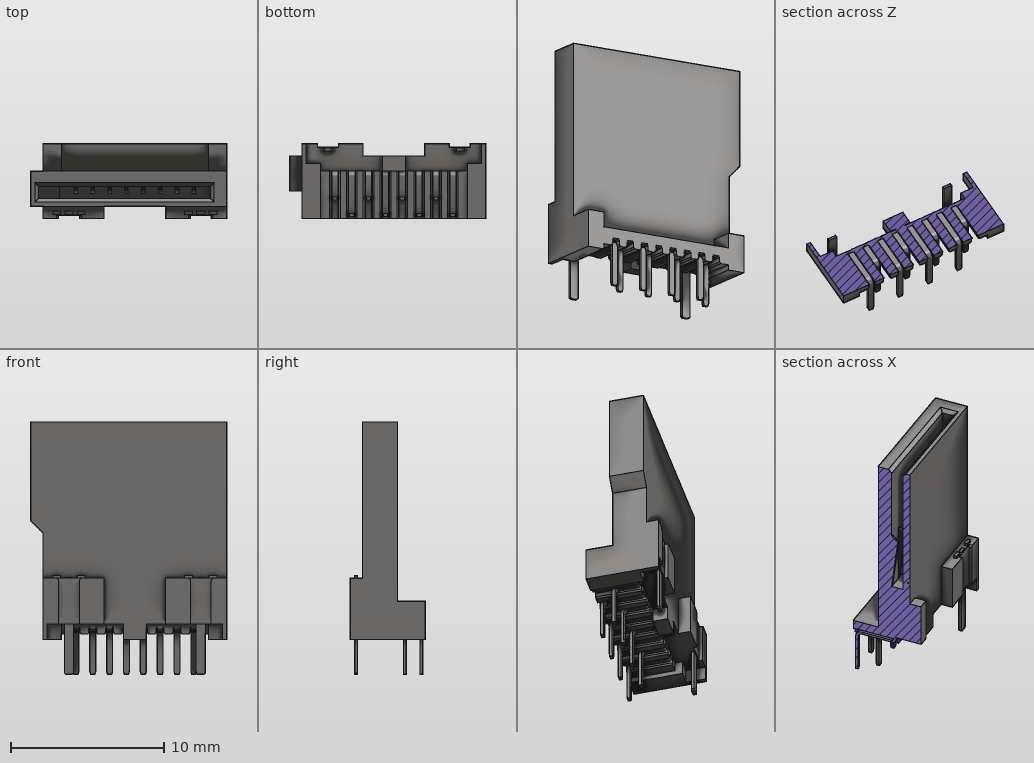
import cadquery as cq
import math


BASE_WIDTH = 12.0
HALF_BASE = BASE_WIDTH / 2
BODY_DEPTH = 2.3
BODY_HEIGHT = 14.2
OVERHANG = 0.8
OVERHANG_BOTTOM = 6.95
BACK_LEDGE_DEPTH = 1.8
END_BLOCK_HEIGHT = 2.5
MIDDLE_LEDGE_HEIGHT = 1.5
INNER_HALF_WIDTH = 4.8
BACK_Y = BODY_DEPTH + BACK_LEDGE_DEPTH

PAD_WIDTH = 4.0
PAD_DEPTH = 0.8
PAD_HEIGHT = 4.0
CLIP_X = 4.3
GROOVE_WIDTH = 1.36
GROOVE_DEPTH = 0.22
GROOVE_CHAMFER = 0.12

RECESS_HEIGHT = 1.0
FOOT_SETBACK_Y = 0.5
OUTER_FOOT_WIDTH = 0.28
TONGUE_HALF_WIDTH = 0.75
COMB_FRONT_Y = 1.0
COMB_BOTTOM = 0.35
COMB_SLOT_WIDTH = 0.5
COMB_SLOT_TOP = 0.74
COMB_SLOT_CHAMFER = 0.1

SOCKET_LEFT = -6.29
SOCKET_HALF_WIDTH = 4.93
SOCKET_FRONT_Y = 0.52
SOCKET_BACK_Y = 1.31
SOCKET_LEAD_IN = 0.24
SOCKET_FLOOR = 5.0
SOCKET_SHELF = 8.5
SOCKET_FLOOR_RADIUS = 0.52

CONTACT_COUNT = 8
CONTACT_PITCH = 1.1
METAL = 0.2
PIN_WIDTH = 0.4
PIN_TIP_Z = -2.28
PIN_TIP_TAPER = 0.06
PIN_TIP_HEIGHT = 0.2
PIN_ROWS_Y = (2.77, 3.85)
LEG_BOTTOM = 0.55
INNER_BEND = 0.1
LOWER_BEND = 0.27
SPRING_WIDTH = 0.23
SPRING_SLOPE = 0.24
SPRING_CURVE_RADIUS = 0.3
SPRING_TOP = 9.0

CLIP_PIN_WIDTH = 0.6
CLIP_Y = -0.41
CLIP_TIP_CHAMFER = 0.1
PRONG_WIDTH = 0.52
PRONG_HEIGHT = 0.18
PRONG_OFFSET = 0.8
HUMP_WIDTH = 0.55
HUMP_HEIGHT = 0.06


def box(x0, x1, y0, y1, z0, z1):
    """Axis-aligned block between two opposite corners."""
    return cq.Workplane("XY").box(x1 - x0, y1 - y0, z1 - z0, centered=False).translate((x0, y0, z0))


def xz_plate(points, y0, y1):
    """Plate with a polygonal X-Z outline, between two Y positions."""
    return cq.Workplane("XZ", origin=(0, y1, 0)).polyline(points).close().extrude(y1 - y0)


def body():
    """Plate-shaped body with the overhang on the -X side."""
    left = -HALF_BASE - OVERHANG
    outline = [
        (-HALF_BASE, 0),
        (HALF_BASE, 0),
        (HALF_BASE, BODY_HEIGHT),
        (left, BODY_HEIGHT),
        (left, OVERHANG_BOTTOM + OVERHANG),
        (-HALF_BASE, OVERHANG_BOTTOM),
    ]
    return xz_plate(outline, 0, BODY_DEPTH)


def back_ledge():
    """Low ledge behind the body with a taller block at each end."""
    ledge = box(-HALF_BASE, HALF_BASE, BODY_DEPTH, BACK_Y, 0, MIDDLE_LEDGE_HEIGHT)
    left_end = box(-HALF_BASE, -INNER_HALF_WIDTH, BODY_DEPTH, BACK_Y, 0, END_BLOCK_HEIGHT)
    return ledge.union(left_end).union(left_end.mirror("YZ"))


def front_pad():
    """Pad on the -X side with its clip groove."""
    pad = box(-HALF_BASE, -HALF_BASE + PAD_WIDTH, -PAD_DEPTH, 0, 0, PAD_HEIGHT)
    half = GROOVE_WIDTH / 2
    half_top = half + GROOVE_CHAMFER
    chamfer_z = PAD_HEIGHT - GROOVE_CHAMFER
    groove = [
        (-CLIP_X - half, 0),
        (-CLIP_X - half, chamfer_z),
        (-CLIP_X - half_top, PAD_HEIGHT),
        (-CLIP_X + half_top, PAD_HEIGHT),
        (-CLIP_X + half, chamfer_z),
        (-CLIP_X + half, 0),
    ]
    return pad.cut(xz_plate(groove, -PAD_DEPTH, -PAD_DEPTH + GROOVE_DEPTH))


def underside_recess():
    """Space under the base, leaving the feet, the central tongue and the comb wall."""
    outer = HALF_BASE - OUTER_FOOT_WIDTH
    front = box(-outer, outer, -PAD_DEPTH, FOOT_SETBACK_Y, 0, RECESS_HEIGHT)
    middle = box(-INNER_HALF_WIDTH, INNER_HALF_WIDTH, FOOT_SETBACK_Y, COMB_FRONT_Y, 0, RECESS_HEIGHT)
    under_comb = box(-INNER_HALF_WIDTH, INNER_HALF_WIDTH, COMB_FRONT_Y, BACK_Y, 0, COMB_BOTTOM)
    tongue = box(-TONGUE_HALF_WIDTH, TONGUE_HALF_WIDTH, 0, COMB_FRONT_Y, 0, RECESS_HEIGHT)
    return front.union(middle).union(under_comb).cut(tongue)


def comb_slot(x):
    """Slot through the comb wall: flared mouth, narrowing to the pin's width at the top."""
    half_pin = PIN_WIDTH / 2
    bend_top = LEG_BOTTOM + METAL + INNER_BEND
    half = COMB_SLOT_WIDTH / 2
    flare = half + COMB_SLOT_CHAMFER
    outline = [
        (x - flare, COMB_BOTTOM),
        (x - half, COMB_BOTTOM + COMB_SLOT_CHAMFER),
        (x - half, COMB_SLOT_TOP),
        (x - half_pin, COMB_SLOT_TOP),
        (x - half_pin, bend_top),
        (x + half_pin, bend_top),
        (x + half_pin, COMB_SLOT_TOP),
        (x + half, COMB_SLOT_TOP),
        (x + half, COMB_BOTTOM + COMB_SLOT_CHAMFER),
        (x + flare, COMB_BOTTOM),
    ]
    return xz_plate(outline, COMB_FRONT_Y, BACK_Y)


def card_socket():
    """Socket with rounded lower corners, a shelf on the -X side and a lead-in bevel."""
    deep = box(
        -SOCKET_HALF_WIDTH, SOCKET_HALF_WIDTH, SOCKET_FRONT_Y, SOCKET_BACK_Y, SOCKET_FLOOR, BODY_HEIGHT
    )
    deep = deep.edges("|Y and <Z").fillet(SOCKET_FLOOR_RADIUS)
    shelf = box(SOCKET_LEFT, 0, SOCKET_FRONT_Y, SOCKET_BACK_Y, SOCKET_SHELF, BODY_HEIGHT)
    length = SOCKET_HALF_WIDTH - SOCKET_LEFT
    depth = SOCKET_BACK_Y - SOCKET_FRONT_Y
    centre = ((SOCKET_HALF_WIDTH + SOCKET_LEFT) / 2, (SOCKET_FRONT_Y + SOCKET_BACK_Y) / 2, BODY_HEIGHT)
    lead_in = (
        cq.Workplane("XY", origin=centre)
        .rect(length + 2 * SOCKET_LEAD_IN, depth + 2 * SOCKET_LEAD_IN)
        .workplane(offset=-SOCKET_LEAD_IN)
        .rect(length, depth)
        .loft()
    )
    return deep.union(shelf).union(lead_in)


def spring(x):
    """Contact tip on the socket's back wall: a 45 degree slope easing out to level."""
    slope_y = SOCKET_BACK_Y - SPRING_SLOPE
    slope_z = SPRING_TOP - SPRING_SLOPE
    curve_y = slope_y - SPRING_CURVE_RADIUS * math.sin(math.pi / 4)
    curve_z = slope_z - SPRING_CURVE_RADIUS * (1 - math.cos(math.pi / 4))
    return (
        cq.Workplane("YZ", origin=(x - SPRING_WIDTH / 2, 0, 0))
        .moveTo(SOCKET_BACK_Y, SPRING_TOP)
        .lineTo(slope_y, slope_z)
        .radiusArc((curve_y, curve_z), SPRING_CURVE_RADIUS)
        .lineTo(SOCKET_BACK_Y, SOCKET_FLOOR)
        .close()
        .extrude(SPRING_WIDTH)
    )


def pin(x, row_y):
    """Contact tail: down out of the comb wall, back under the ledge, then down again."""
    front = row_y - METAL / 2
    back = row_y + METAL / 2
    outer_bend = INNER_BEND + METAL
    lower_outer = LOWER_BEND + METAL
    leg_top = LEG_BOTTOM + METAL
    tail = (
        cq.Workplane("YZ", origin=(x - PIN_WIDTH / 2, 0, 0))
        .moveTo(COMB_FRONT_Y, RECESS_HEIGHT)
        .lineTo(COMB_FRONT_Y, LEG_BOTTOM + outer_bend)
        .radiusArc((COMB_FRONT_Y + outer_bend, LEG_BOTTOM), -outer_bend)
        .lineTo(front - LOWER_BEND, LEG_BOTTOM)
        .radiusArc((front, LEG_BOTTOM - LOWER_BEND), LOWER_BEND)
        .lineTo(front, PIN_TIP_Z)
        .lineTo(back, PIN_TIP_Z)
        .lineTo(back, leg_top - lower_outer)
        .radiusArc((back - lower_outer, leg_top), -lower_outer)
        .lineTo(COMB_FRONT_Y + outer_bend, leg_top)
        .radiusArc((COMB_FRONT_Y + METAL, leg_top + INNER_BEND), INNER_BEND)
        .lineTo(COMB_FRONT_Y + METAL, RECESS_HEIGHT)
        .close()
        .extrude(PIN_WIDTH)
    )
    half = PIN_WIDTH / 2
    half_tip = half - PIN_TIP_TAPER
    front_outline = [
        (x - half, RECESS_HEIGHT),
        (x - half, PIN_TIP_Z + PIN_TIP_HEIGHT),
        (x - half_tip, PIN_TIP_Z),
        (x + half_tip, PIN_TIP_Z),
        (x + half, PIN_TIP_Z + PIN_TIP_HEIGHT),
        (x + half, RECESS_HEIGHT),
    ]
    return tail.intersect(xz_plate(front_outline, COMB_FRONT_Y, BACK_Y))


def clip():
    """Hold-down clip on the -X side: a board pin below, two prongs and a hump on top."""
    y0 = CLIP_Y - METAL / 2
    y1 = CLIP_Y + METAL / 2
    half_pin = CLIP_PIN_WIDTH / 2
    metal = box(-CLIP_X - half_pin, -CLIP_X + half_pin, y0, y1, PIN_TIP_Z, RECESS_HEIGHT)
    metal = metal.faces("<Z").edges("|Y").chamfer(CLIP_TIP_CHAMFER)
    for side in (-1, 1):
        left = -CLIP_X + side * PRONG_OFFSET - PRONG_WIDTH / 2
        metal = metal.union(box(left, left + PRONG_WIDTH, y0, y1, PAD_HEIGHT, PAD_HEIGHT + PRONG_HEIGHT))
    hump = (
        cq.Workplane("XZ", origin=(-CLIP_X, y1, PAD_HEIGHT))
        .moveTo(-HUMP_WIDTH / 2, 0)
        .threePointArc((0, HUMP_HEIGHT), (HUMP_WIDTH / 2, 0))
        .close()
        .extrude(METAL)
    )
    return metal.union(hump)


pad = front_pad()
part = body().union(back_ledge()).union(pad).union(pad.mirror("YZ"))
part = part.cut(underside_recess()).cut(card_socket())

for i in range(CONTACT_COUNT):
    contact_x = (i - (CONTACT_COUNT - 1) / 2) * CONTACT_PITCH
    part = part.cut(comb_slot(contact_x))
    part = part.union(pin(contact_x, PIN_ROWS_Y[i % 2]))
    part = part.union(spring(contact_x))

left_clip = clip()
result = part.union(left_clip).union(left_clip.mirror("YZ"))